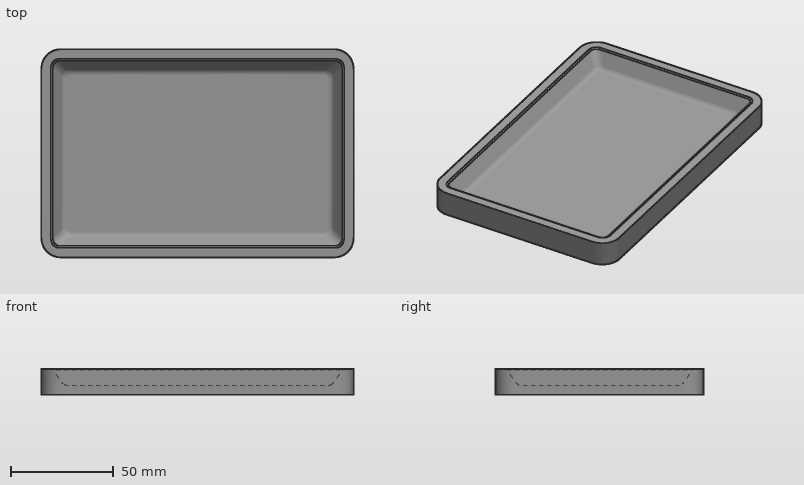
import cadquery as cq

length = 152.4
width = 101.7
height = 12.6
outer_corner_radius = 9.6

rim_width = 4.7
mouth_chamfer = 0.6
pocket_depth = 8.0
wall_angle = 35.0
pocket_corner_radius = 4.7
floor_radius = 3.2

mouth_inset = rim_width + mouth_chamfer
mouth_length = length - 2 * mouth_inset
mouth_width = width - 2 * mouth_inset


def make_body():
    """Flat slab with rounded upright corners, standing on Z = 0."""
    slab = cq.Workplane("XY").box(length, width, height, centered=(True, True, False))
    return slab.edges("|Z").fillet(outer_corner_radius)


def make_pocket_cutter():
    """Inverted frustum with rounded wall corners and a rounded floor edge."""
    cutter = (
        cq.Workplane("XY", origin=(0, 0, height))
        .rect(mouth_length, mouth_width)
        .extrude(-pocket_depth, taper=wall_angle)
    )
    slanted_edges = cutter.edges("not(#Z)")
    cutter = cutter.newObject(slanted_edges.vals()).fillet(pocket_corner_radius)
    return cutter.faces("<Z").edges().fillet(floor_radius)


def chamfer_mouth(tray):
    """Bevel the pocket mouth, the inner loop of the rim face."""
    mouth_edges = tray.faces(">Z").val().innerWires()[0].Edges()
    return tray.newObject(mouth_edges).chamfer(mouth_chamfer)


result = chamfer_mouth(make_body().cut(make_pocket_cutter()))